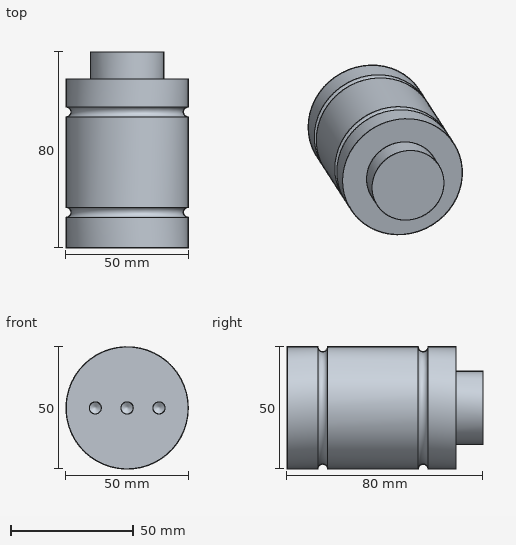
import cadquery as cq
import math

total_length = 80.0
body_diameter = 50.0
boss_diameter = 30.0
boss_length = 11.0
body_length = total_length - boss_length

groove_radius = 2.0
groove_positions = (14.5, 55.5)

center_hole_diameter = 5.0
side_hole_diameter = 4.92
hole_spacing = 13.0
hole_depth = 12.0
drill_point_angle = 118.0


def cylinder_along_y(diameter, start, length):
    """Solid cylinder on the Y axis from start to start + length."""
    return cq.Workplane("XZ", origin=(0, start, 0)).circle(diameter / 2).extrude(-length)


def groove_cutter(position):
    """Torus whose tube is centred on the body surface at the given Y."""
    return (
        cq.Workplane("XY")
        .center(body_diameter / 2, position)
        .circle(groove_radius)
        .revolve(360, (-body_diameter / 2, 0), (-body_diameter / 2, 1))
    )


def drill_cutter(x, diameter):
    """Blind hole with a conical drill point, entering at Y = 0."""
    radius = diameter / 2
    point_length = radius / math.tan(math.radians(drill_point_angle / 2))
    return (
        cq.Workplane("XY")
        .moveTo(0, 0)
        .lineTo(radius, 0)
        .lineTo(radius, hole_depth)
        .lineTo(0, hole_depth + point_length)
        .close()
        .revolve(360, (0, 0), (0, 1))
        .translate((x, 0, 0))
    )


result = cylinder_along_y(body_diameter, 0, body_length)
result = result.union(cylinder_along_y(boss_diameter, body_length, boss_length))

for groove_position in groove_positions:
    result = result.cut(groove_cutter(groove_position))

result = result.cut(drill_cutter(0, center_hole_diameter))
for side in (-1, 1):
    result = result.cut(drill_cutter(side * hole_spacing, side_hole_diameter))